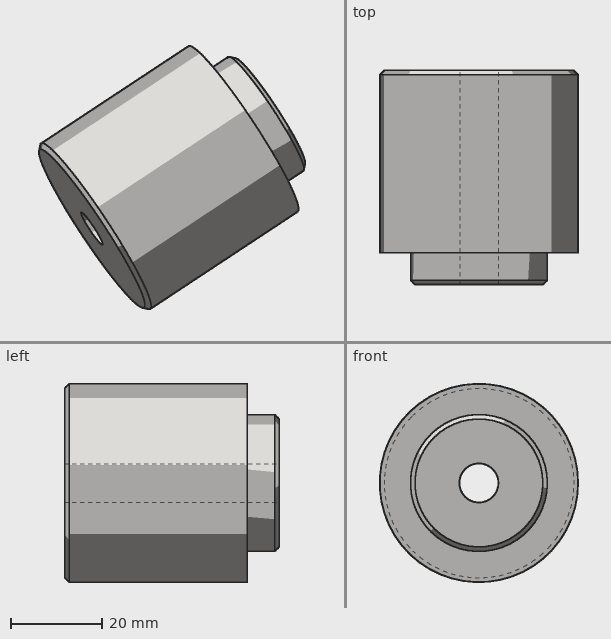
import cadquery as cq

total_length = 47.0
body_diameter = 43.5
boss_diameter = 30.0
boss_length = 7.0
bore_diameter = 8.5
edge_chamfer = 1.0

body_length = total_length - boss_length

body = (
    cq.Workplane("XZ")
    .circle(body_diameter / 2)
    .extrude(-body_length)
    .faces(">Y")
    .chamfer(edge_chamfer)
)

boss = (
    cq.Workplane("XZ")
    .circle(boss_diameter / 2)
    .extrude(boss_length)
    .faces("<Y")
    .chamfer(edge_chamfer)
)

bore = (
    cq.Workplane("XZ", origin=(0, body_length, 0))
    .circle(bore_diameter / 2)
    .extrude(total_length)
)

result = body.union(boss).cut(bore)